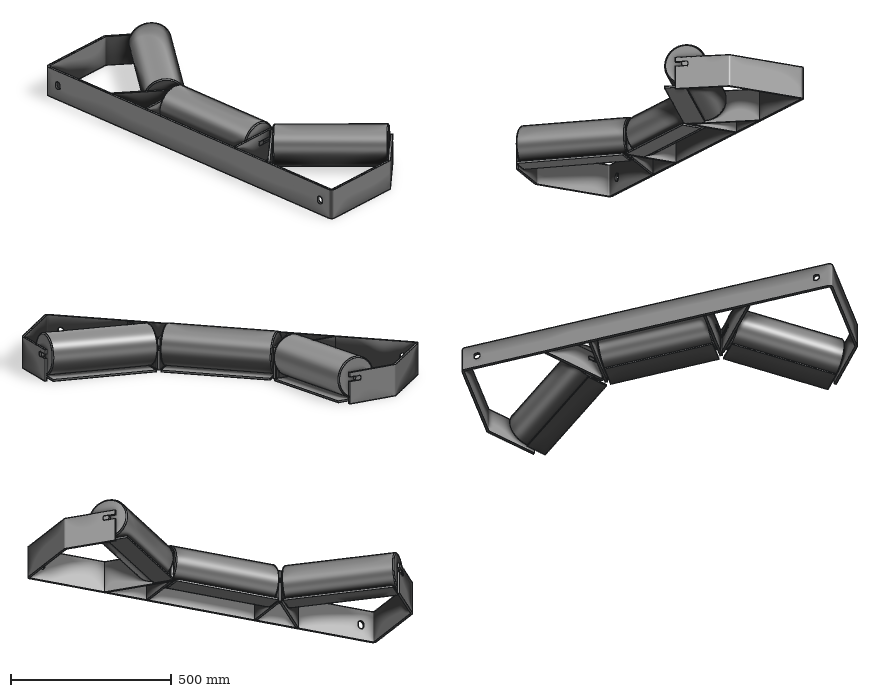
import cadquery as cq
import math

FRAME_WIDTH = 1210.0
FRAME_HEIGHT = 102.0
WALL = 7.0
BEND_RADIUS = 12.0
ARM_BEND_Y = 271.0
ARM_TIP_Y = 403.0
MOUNT_HOLE_X = 554.0
MOUNT_HOLE_Z = FRAME_HEIGHT / 2
MOUNT_HOLE_WIDTH = 19.0
MOUNT_HOLE_HEIGHT = 27.0

TROUGH_ANGLE = 40.0
TILT_ANGLE = 1.5
ROLLER_RADIUS = 67.0
ROLLER_LENGTH = 360.0
ROLLER_CHAMFER = 4.0
SHAFT_DIAMETER = 20.0
SHAFT_FLATS = 15.0
SHAFT_OVERHANG = 12.0
END_GAP = 4.0
CENTRE_Y = 126.0
CENTRE_Z = 70.0
SIDE_X = 368.0
SIDE_Y = 257.0
SIDE_Z = 75.0

STRIP_LENGTH = ROLLER_LENGTH - 2 * ROLLER_CHAMFER
STRIP_THICKNESS = 6.0

BRACKET_END_Y = 182.0
TAB_Y = 171.0

SIDES = (-1, 1)
ROLLER_PLACES = (-1, 0, 1)
COS_TROUGH = math.cos(math.radians(TROUGH_ANGLE))
SIN_TROUGH = math.sin(math.radians(TROUGH_ANGLE))
TAN_TROUGH = SIN_TROUGH / COS_TROUGH
SHAFT_LENGTH = ROLLER_LENGTH + 2 * SHAFT_OVERHANG


def put_in_place(body, place):
    """Move a body modelled along X at the origin to the left (-1), centre (0) or right (1) roller."""
    centre = (0, CENTRE_Y, CENTRE_Z) if place == 0 else (place * SIDE_X, SIDE_Y, SIDE_Z)
    return (
        body.rotate((0, 0, 0), (0, 1, 0), -place * TILT_ANGLE)
        .rotate((0, 0, 0), (0, 0, 1), place * TROUGH_ANGLE)
        .translate(centre)
    )


def make_shaft():
    round_bar = cq.Workplane("YZ").circle(SHAFT_DIAMETER / 2).extrude(SHAFT_LENGTH / 2, both=True)
    flats = cq.Workplane("XY").box(SHAFT_LENGTH, SHAFT_DIAMETER, SHAFT_FLATS)
    return round_bar.intersect(flats)


def make_roller(place):
    drum = (
        cq.Workplane("YZ")
        .circle(ROLLER_RADIUS)
        .extrude(ROLLER_LENGTH)
        .translate((-ROLLER_LENGTH / 2, 0, 0))
        .faces("<X or >X")
        .chamfer(ROLLER_CHAMFER)
    )
    return put_in_place(drum.union(make_shaft()), place)


def make_strip(place):
    strip = (
        cq.Workplane("XY")
        .box(STRIP_LENGTH, ROLLER_RADIUS, STRIP_THICKNESS, centered=(True, False, False))
        .translate((0, 0, -ROLLER_RADIUS - STRIP_THICKNESS))
    )
    return put_in_place(strip, place)


def make_shaft_slot(place):
    """Cutter for the slots, open to the rear, in the two plates that hold a roller."""
    open_side = cq.Workplane("XY").box(
        SHAFT_LENGTH, ROLLER_RADIUS, SHAFT_FLATS, centered=(True, False, True)
    )
    return put_in_place(make_shaft().union(open_side), place)


def round_upright_edge(body, x, y, radius):
    middle = (x, y, FRAME_HEIGHT / 2)
    return body.edges(cq.selectors.NearestToPointSelector(middle)).fillet(radius)


def make_frame():
    half_x = FRAME_WIDTH / 2
    tip_x = half_x - (ARM_TIP_Y - ARM_BEND_Y) * TAN_TROUGH
    inner_bend_y = ARM_BEND_Y - WALL * math.tan(math.radians(TROUGH_ANGLE / 2))
    outer_half = [(half_x, 0), (half_x, ARM_BEND_Y), (tip_x, ARM_TIP_Y)]
    inner_half = [
        (tip_x - WALL * COS_TROUGH, ARM_TIP_Y - WALL * SIN_TROUGH),
        (half_x - WALL, inner_bend_y),
        (half_x - WALL, WALL),
    ]
    right_half = outer_half + inner_half
    left_half = [(-x, y) for x, y in reversed(right_half)]
    frame = cq.Workplane("XY").polyline(right_half + left_half).close().extrude(FRAME_HEIGHT)

    for side in SIDES:
        for x, y in outer_half[:2]:
            frame = round_upright_edge(frame, side * x, y, BEND_RADIUS)
        for x, y in inner_half[1:]:
            frame = round_upright_edge(frame, side * x, y, BEND_RADIUS - WALL)
        frame = frame.cut(make_shaft_slot(side))

    mount_holes = (
        cq.Workplane("XZ")
        .pushPoints([(side * MOUNT_HOLE_X, MOUNT_HOLE_Z) for side in SIDES])
        .slot2D(MOUNT_HOLE_HEIGHT, MOUNT_HOLE_WIDTH, 90)
        .extrude(-WALL)
    )
    return frame.cut(mount_holes)


def slanted_x(depth, y):
    """X, at a given Y, of the upright plane lying `depth` beyond the inner end of the right roller."""
    reach = ROLLER_LENGTH / 2 + depth
    return SIDE_X - reach / COS_TROUGH + (SIDE_Y - y) * TAN_TROUGH


def extrude_outline(points, side):
    """Upright plate from an outline for the right side, mirrored when side is -1."""
    outline = [(side * x, y) for x, y in points]
    return cq.Workplane("XY").polyline(outline).close().extrude(FRAME_HEIGHT)


def make_bracket(side):
    near_x = ROLLER_LENGTH / 2 + END_GAP
    far_x = near_x + WALL
    tab_front_y = TAB_Y - WALL

    straight = extrude_outline(
        [(near_x, WALL), (near_x, BRACKET_END_Y), (far_x, BRACKET_END_Y), (far_x, WALL)], side
    )

    slanted = extrude_outline(
        [
            (slanted_x(END_GAP, WALL), WALL),
            (slanted_x(END_GAP, TAB_Y), TAB_Y),
            (far_x, TAB_Y),
            (far_x, tab_front_y),
            (slanted_x(END_GAP + WALL, tab_front_y), tab_front_y),
            (slanted_x(END_GAP + WALL, WALL), WALL),
        ],
        side,
    )

    return straight.cut(make_shaft_slot(0)).union(slanted.cut(make_shaft_slot(side)))


frame = make_frame()
brackets = [make_bracket(side) for side in SIDES]
rollers = [make_roller(place) for place in ROLLER_PLACES]
strips = [make_strip(place) for place in ROLLER_PLACES]

bodies = [frame, *brackets, *rollers, *strips]
result = cq.Compound.makeCompound([body.val() for body in bodies])